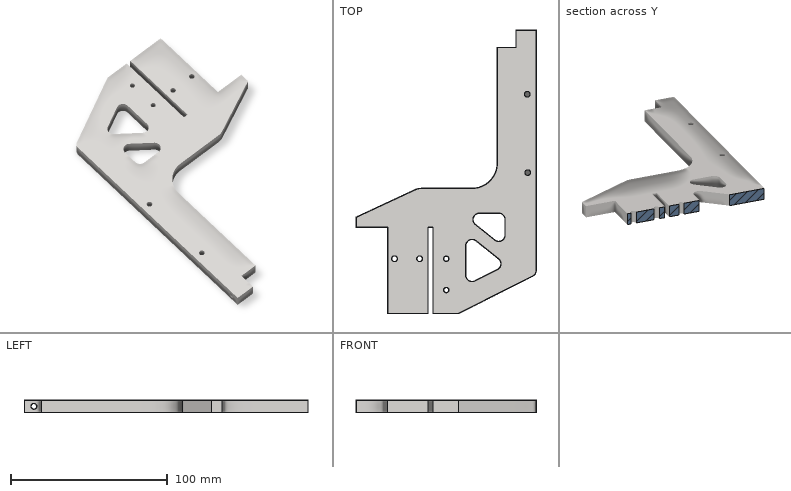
import math

import cadquery as cq

thickness = 8.0
width = 115.0
length = 180.98

arm_left_x = 90.0
shoulder_y = 80.0
inside_corner_radius = 16.0
notch_width = 13.0
notch_length = 11.0

nose_slope_end_x = 39.55
nose_angle = math.radians(25.0)
nose_underside_y = 55.0
nose_fillet_radius = 10.0

foot_left_x = 20.0
foot_bottom_y = 0.02
slot_left_x = 46.0
slot_width = 3.0
slope_start_x = 65.4
slope = 0.505
slope_fillet_radius = 4.0

window_fillet_radius = 4.0
rib_slope = -0.8
upper_window_top_y = 64.0
upper_window_right_x = 95.0
upper_window_diagonal_y0 = 117.8
lower_window_left_x = 70.0
lower_window_diagonal_y0 = 107.6
lower_wall = 14.0

pin_hole_diameter = 3.5
pin_hole_points = [(24.5, 35.0), (40.5, 35.0)]
screw_hole_diameter = 3.2
screw_hole_points = [(57.5, 35.0), (57.5, 15.0)]
blind_hole_diameter = 3.6
blind_hole_depth = 5.0
blind_hole_points = [(109.2, 140.0), (109.5, 90.0)]
cross_hole_diameter = 3.5
cross_hole_end_distance = 6.0


def prism(points):
    """Extrude a closed XY polygon through the plate thickness."""
    return cq.Workplane("XY").polyline(points).close().extrude(thickness)


def fillet_corner(body, point, radius):
    """Round the vertical edge that stands at an XY point."""
    corner = cq.selectors.NearestToPointSelector((*point, thickness / 2))
    return body.edges("|Z").edges(corner).fillet(radius)


def make_plate():
    nose_tip_y = shoulder_y - nose_slope_end_x * math.tan(nose_angle)
    notch_x = width - notch_width
    notch_y = length - notch_length
    slot_right_x = slot_left_x + slot_width
    slope_end = (width, slope * (width - slope_start_x))
    inside_corner = (arm_left_x, shoulder_y)
    nose_slope_end = (nose_slope_end_x, shoulder_y)

    plate = prism([
        (0, nose_underside_y),
        (foot_left_x, nose_underside_y),
        (foot_left_x, foot_bottom_y),
        (slot_left_x, foot_bottom_y),
        (slot_left_x, nose_underside_y),
        (slot_right_x, nose_underside_y),
        (slot_right_x, foot_bottom_y),
        (slope_start_x, 0),
        slope_end,
        (width, length),
        (notch_x, length),
        (notch_x, notch_y),
        (arm_left_x, notch_y),
        inside_corner,
        nose_slope_end,
        (0, nose_tip_y),
    ])
    plate = fillet_corner(plate, inside_corner, inside_corner_radius)
    plate = fillet_corner(plate, nose_slope_end, nose_fillet_radius)
    return fillet_corner(plate, slope_end, slope_fillet_radius)


def make_upper_window():
    diagonal_x = (upper_window_top_y - upper_window_diagonal_y0) / rib_slope
    diagonal_y = upper_window_diagonal_y0 + rib_slope * upper_window_right_x
    window = prism([
        (diagonal_x, upper_window_top_y),
        (upper_window_right_x, diagonal_y),
        (upper_window_right_x, upper_window_top_y),
    ])
    return window.edges("|Z").fillet(window_fillet_radius)


def make_lower_window():
    lower_side_y0 = lower_wall * math.hypot(1, slope) - slope * slope_start_x
    apex_x = (lower_window_diagonal_y0 - lower_side_y0) / (slope - rib_slope)
    window = prism([
        (lower_window_left_x, lower_window_diagonal_y0 + rib_slope * lower_window_left_x),
        (lower_window_left_x, lower_side_y0 + slope * lower_window_left_x),
        (apex_x, lower_side_y0 + slope * apex_x),
    ])
    return window.edges("|Z").fillet(window_fillet_radius)


def make_vertical_holes(points, diameter, depth):
    """Cylinders reaching down from the top face."""
    top_face = cq.Workplane("XY").workplane(offset=thickness)
    return top_face.pushPoints(points).circle(diameter / 2).extrude(-depth)


def make_cross_hole():
    """Cylinder along X through the arm tip at mid thickness."""
    center = (length - cross_hole_end_distance, thickness / 2)
    return cq.Workplane("YZ").center(*center).circle(cross_hole_diameter / 2).extrude(width)


result = (
    make_plate()
    .cut(make_upper_window())
    .cut(make_lower_window())
    .cut(make_vertical_holes(pin_hole_points, pin_hole_diameter, thickness))
    .cut(make_vertical_holes(screw_hole_points, screw_hole_diameter, thickness))
    .cut(make_vertical_holes(blind_hole_points, blind_hole_diameter, blind_hole_depth))
    .cut(make_cross_hole())
)